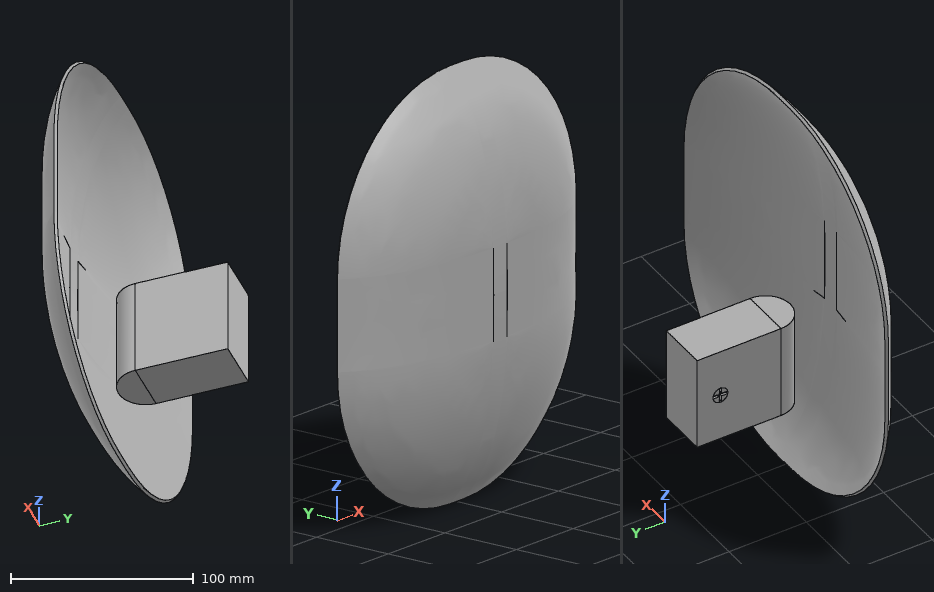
import cadquery as cq
import math

SHELL_WIDTH = 210.0
SHELL_HEIGHT = 251.3
CORNER_RADIUS = 99.0
SHELL_THICKNESS = 2.0
DOME_DEPTH = 30.7
RIM_SLOPE = math.radians(43.3)
RIM_HANDLE = 44.2
CROWN_HANDLE = 39.5
HALF_WIDTH = SHELL_WIDTH / 2
HALF_HEIGHT = SHELL_HEIGHT / 2
SPINE_HALF_WIDTH = HALF_WIDTH - CORNER_RADIUS
BAND_HALF_HEIGHT = HALF_HEIGHT - CORNER_RADIUS

OVERALL_DEPTH = 98.5
BRACKET_WIDTH = 32.0
BRACKET_HEIGHT = 60.0
BRACKET_TOP = -16.0
BRACKET_FRONT = 13.5
BRACKET_BACK = OVERALL_DEPTH - DOME_DEPTH
BRACKET_BOTTOM = BRACKET_TOP - BRACKET_HEIGHT
NECK_RADIUS = BRACKET_WIDTH / 2

SCREW_DIAMETER = 9.5
SCREW_DEPTH = 2.0
SCREW_SLOT = 1.5
SCREW_FROM_BACK = 15.0
SCREW_Y = BRACKET_BACK - SCREW_FROM_BACK
SCREW_Z = BRACKET_TOP - BRACKET_HEIGHT / 2
SECTOR_COUNT = 4


def dome_section():
    """Wall section in X-Y, from the rim at X = 0 up to the crown at X = HALF_HEIGHT."""
    along_x = math.cos(RIM_SLOPE)
    along_y = -math.sin(RIM_SLOPE)
    inner_depth = DOME_DEPTH - SHELL_THICKNESS
    inner_rim = (-along_y * SHELL_THICKNESS, along_x * SHELL_THICKNESS)
    handle_x = RIM_HANDLE * along_x
    handle_y = RIM_HANDLE * along_y
    crown_handle_x = HALF_HEIGHT - CROWN_HANDLE
    outer_curve = [
        (0, 0),
        (handle_x, handle_y),
        (crown_handle_x, -DOME_DEPTH),
        (HALF_HEIGHT, -DOME_DEPTH),
    ]
    inner_curve = [
        (HALF_HEIGHT, -inner_depth),
        (crown_handle_x, -inner_depth),
        (inner_rim[0] + handle_x, inner_rim[1] + handle_y),
        inner_rim,
    ]
    outline = (
        cq.Workplane("XY")
        .bezier(outer_curve)
        .lineTo(*inner_curve[0])
        .bezier(inner_curve[1:], includeCurrent=True)
        .close()
    )
    return cq.Face.makeFromWires(outline.val())


def make_shell():
    """One thin wall: corners, side bands and a middle spine that runs on to Z = 0."""
    full_section = dome_section()

    corner_reach = cq.Face.makePlane(2 * CORNER_RADIUS, 2 * CORNER_RADIUS)
    short_section = full_section.intersect(corner_reach).Faces()[0]

    corner_section = short_section.translate(cq.Vector(-HALF_WIDTH, 0, BAND_HALF_HEIGHT))
    pivot = cq.Vector(-SPINE_HALF_WIDTH, 0, BAND_HALF_HEIGHT)
    corner = cq.Workplane(cq.Solid.revolve(corner_section, 90, pivot, pivot + cq.Vector(0, 2.5, 0)))

    band_section = short_section.translate(cq.Vector(-HALF_WIDTH, 0, -BAND_HALF_HEIGHT))
    band = cq.Workplane(cq.Solid.extrudeLinear(band_section, cq.Vector(0, 0, 2 * BAND_HALF_HEIGHT)))

    spine_section = full_section.rotate(cq.Vector(), cq.Vector(0, 1, 0), 90)
    spine_section = spine_section.translate(cq.Vector(-SPINE_HALF_WIDTH, 0, HALF_HEIGHT))
    spine = cq.Workplane(cq.Solid.extrudeLinear(spine_section, cq.Vector(2 * SPINE_HALF_WIDTH, 0, 0)))

    left_side = corner.union(corner.mirror("XY")).union(band)
    right_side = left_side.mirror("YZ")
    return spine.union(spine.mirror("XY")).union(left_side).union(right_side)


def make_screw_disc():
    """Full disc of the screw head, also the shape of its pocket in the bracket."""
    return (
        cq.Workplane("YZ", origin=(-BRACKET_WIDTH / 2, SCREW_Y, SCREW_Z))
        .circle(SCREW_DIAMETER / 2)
        .extrude(SCREW_DEPTH)
    )


def make_bracket():
    """Block with a round pocket for the screw head."""
    block = cq.Workplane("XY").box(
        BRACKET_WIDTH, BRACKET_BACK - BRACKET_FRONT, BRACKET_HEIGHT, centered=(True, False, False)
    )
    return block.translate((0, BRACKET_FRONT, BRACKET_BOTTOM)).cut(make_screw_disc())


def make_neck():
    """Half cylinder, as wide as the bracket, standing on the bracket's front face."""
    return (
        cq.Workplane("XY", origin=(0, BRACKET_FRONT, BRACKET_BOTTOM))
        .moveTo(-NECK_RADIUS, 0)
        .threePointArc((0, -NECK_RADIUS), (NECK_RADIUS, 0))
        .close()
        .extrude(BRACKET_HEIGHT)
    )


def make_screw_sector(index):
    """One quarter of the screw disc, parted from its neighbours by the cross slot."""
    quadrant = (
        cq.Workplane("YZ", origin=(-BRACKET_WIDTH / 2, SCREW_Y, SCREW_Z))
        .moveTo(SCREW_SLOT / 2, SCREW_SLOT / 2)
        .rect(SCREW_DIAMETER, SCREW_DIAMETER, centered=False)
        .extrude(SCREW_DEPTH)
    )
    turn = index * 360 / SECTOR_COUNT
    sector = make_screw_disc().intersect(quadrant)
    return sector.rotate((0, SCREW_Y, SCREW_Z), (1, SCREW_Y, SCREW_Z), turn)


shell = make_shell()
bracket = make_bracket()
neck = make_neck()
screw_sectors = [make_screw_sector(index) for index in range(SECTOR_COUNT)]

result = cq.Compound.makeCompound(
    [shell.val(), bracket.val(), neck.val(), *[sector.val() for sector in screw_sectors]]
)